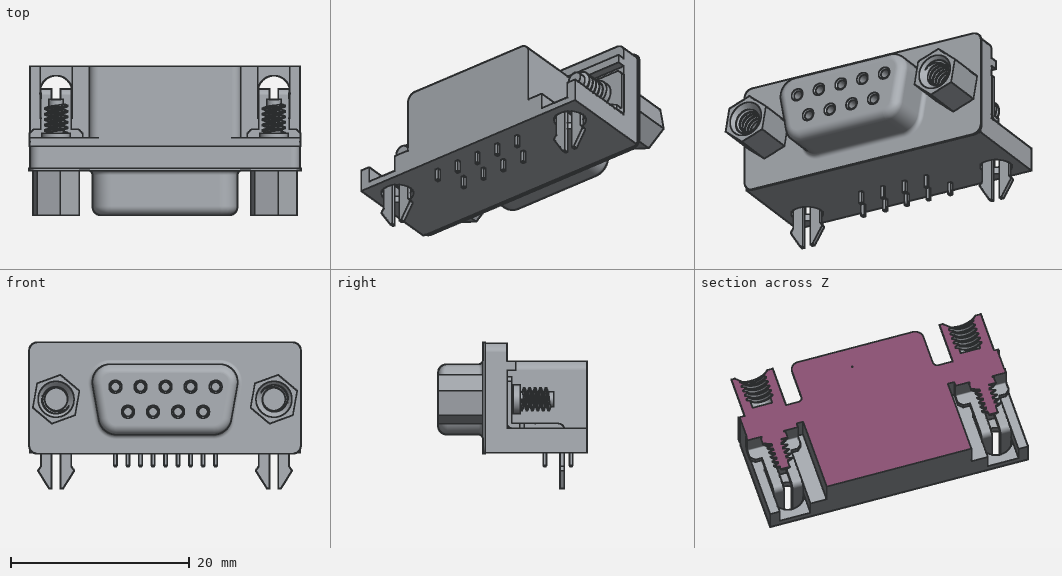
import cadquery as cq
import math


PLATE_WIDTH = 30.5
PLATE_HEIGHT = 12.55
PLATE_THICKNESS = 0.25
CORNER_RADIUS = 1.0
EDGE_INSET = 0.12
FLANGE_BACK = 2.7
REAR = 11.68
BODY_HALF_WIDTH = 8.5
BODY_TOP = 10.4
ARM_TOP = 2.9
OVERHANG_BACK = 3.7
HOUSING_HALF_WIDTH = PLATE_WIDTH / 2 - EDGE_INSET
HOUSING_BOTTOM = EDGE_INSET
HOUSING_TOP = PLATE_HEIGHT - EDGE_INSET

SIDE_X = 12.2
SCREW_Z = 6.13
SIDES = (-SIDE_X, SIDE_X)

CHANNEL_WIDTH = 3.6
CHANNEL_FRONT = 5.85
CHANNEL_FLOOR = 0.95
OPENING_Y = 8.8

FRONT_REACH = 5.03
SHELL_BOTTOM = 2.17
SHELL_TOP = 10.05
SHELL_CORNER = 2.0
SHELL_TOP_STRAIGHT = 6.13
SHELL_SLANT = 10.0
SHELL_EDGE = 1.0
SHELL_FLARE = 0.5

CONTACT_PITCH = 2.8
CONTACT_SHIFT = 0.05
CONTACT_HOLE = 1.05
CONTACT_MOUTH = 1.43
CONTACT_DEPTH = 2.45
UPPER_ROW_Z = 7.53
LOWER_ROW_Z = 4.73
PIN_SIZE = 0.4
PIN_BOTTOM = -1.4
PIN_TIP = 0.12
REAR_PIN_Y = 9.88
FRONT_PIN_Y = 6.95

HEX_RADIUS = 2.78
HEX_TILT = 20.0
NUT_MOUTH = 4.03
NUT_MAJOR = 3.23
NUT_BORE = 2.55
NUT_DEPTH = 4.27

COLLAR_DIAMETER = 3.2
COLLAR_BACK = 4.18
COLLAR_CHAMFER = 0.18
SCREW_END = 7.95
SCREW_ROOT = 1.65
SCREW_OUTER = 2.6
SCREW_TURNS = 5.3

THREAD_PITCH = 0.6
THREAD_ROOT_WIDTH = 0.5
THREAD_CREST_WIDTH = 0.1
THREAD_BITE = 0.05

SHEET = 0.52
BRACKET_WIDTH = 5.98
BRACKET_TOP = 8.65
BRACKET_CHAMFER = 0.5
WIDE_BACK = 4.65
LOCK_BACK = 9.15
LOCK_BEND = 0.7
FRONT_BEND = 0.52
INNER_BEND = 0.15
LOCK_HALF_WIDTH = 1.7
LOCK_SLOT = 0.98
BARB_TOP = -1.37
BARB_PEAK = -1.85
BARB_REACH = 2.05
LOCK_BOTTOM = -3.87
LOCK_TIP = 0.3


def block(x0, x1, y0, y1, z0, z1):
    """Box given by its limits along each axis."""
    return cq.Workplane("XY").box(x1 - x0, y1 - y0, z1 - z0, centered=False).translate((x0, y0, z0))


def rear_plane(y):
    """Work plane facing +Y, with local x along -X and local y along Z."""
    return cq.Workplane(cq.Plane(origin=(0, y, 0), xDir=(-1, 0, 0), normal=(0, 1, 0)))


def front_plane(y):
    """Work plane facing -Y, with local x along X and local y along Z."""
    return cq.Workplane(cq.Plane(origin=(0, y, 0), xDir=(1, 0, 0), normal=(0, -1, 0)))


def make_plate():
    plate = block(-PLATE_WIDTH / 2, PLATE_WIDTH / 2, 0, PLATE_THICKNESS, 0, PLATE_HEIGHT)
    return plate.edges("|Y").fillet(CORNER_RADIUS)


def make_housing():
    half = HOUSING_HALF_WIDTH
    flange = block(-half, half, PLATE_THICKNESS, FLANGE_BACK, HOUSING_BOTTOM, HOUSING_TOP)
    flange = flange.edges("|Y and >Z").fillet(CORNER_RADIUS)
    body = block(-BODY_HALF_WIDTH, BODY_HALF_WIDTH, FLANGE_BACK, REAR, HOUSING_BOTTOM, BODY_TOP)
    body = body.edges("|Y and >Z").fillet(CORNER_RADIUS)
    arms = block(-half, half, FLANGE_BACK, REAR, HOUSING_BOTTOM, ARM_TOP)
    overhang = block(-half, half, FLANGE_BACK, OVERHANG_BACK, BODY_TOP - CORNER_RADIUS, BODY_TOP)
    housing = flange.union(body).union(arms).union(overhang)
    for x in SIDES:
        half_channel = CHANNEL_WIDTH / 2
        channel = block(x - half_channel, x + half_channel, CHANNEL_FRONT, REAR, CHANNEL_FLOOR, ARM_TOP)
        opening = cq.Workplane("XY").center(x, OPENING_Y).circle(half_channel).extrude(ARM_TOP)
        housing = housing.cut(channel).cut(opening)
    return housing


def make_shell():
    upper_z = SHELL_TOP - SHELL_CORNER
    lower_z = SHELL_BOTTOM + SHELL_CORNER
    lower_half = SHELL_TOP_STRAIGHT - (upper_z - lower_z) * math.tan(math.radians(SHELL_SLANT))
    corners = [
        (-SHELL_TOP_STRAIGHT, upper_z),
        (SHELL_TOP_STRAIGHT, upper_z),
        (lower_half, lower_z),
        (-lower_half, lower_z),
    ]
    outline = front_plane(PLATE_THICKNESS).polyline(corners).close().offset2D(SHELL_CORNER, "arc")
    shell = outline.extrude(FRONT_REACH + PLATE_THICKNESS)
    return shell.faces("<Y").edges().fillet(SHELL_EDGE)


def add_flare(part):
    """Concave flare where the shell is drawn out of the flange plate."""
    margin = 0.15
    reach = SHELL_TOP_STRAIGHT + SHELL_CORNER + margin
    around_root = cq.selectors.BoxSelector(
        (-reach, -margin, SHELL_BOTTOM - margin),
        (reach, margin, SHELL_TOP + margin),
        boundingbox=True,
    )
    return part.edges(around_root).fillet(SHELL_FLARE)


def contact_positions():
    """X and Z of every contact: five in the upper row, four in the lower row."""
    for count, z in ((5, UPPER_ROW_Z), (4, LOWER_ROW_Z)):
        for i in range(count):
            yield CONTACT_SHIFT + (i - (count - 1) / 2) * CONTACT_PITCH, z


def make_contact_holes():
    countersink = (CONTACT_MOUTH - CONTACT_HOLE) / 2
    hole = cq.Workplane("XZ").circle(CONTACT_HOLE / 2).extrude(-CONTACT_DEPTH)
    mouth = cq.Workplane("XZ").circle(CONTACT_MOUTH / 2).workplane(offset=-countersink)
    mouth = mouth.circle(CONTACT_HOLE / 2).loft()
    socket = hole.union(mouth)
    holes = cq.Workplane("XY")
    for x, z in contact_positions():
        holes = holes.add(socket.translate((x, -FRONT_REACH, z)))
    return holes.combine()


def make_pins():
    height = ARM_TOP - PIN_BOTTOM
    pins = cq.Workplane("XY")
    for x, z in contact_positions():
        y = REAR_PIN_Y if z == UPPER_ROW_Z else FRONT_PIN_Y
        pin = cq.Workplane("XY").box(PIN_SIZE, PIN_SIZE, height, centered=(True, True, False))
        pin = pin.faces("<Z").edges().chamfer(PIN_TIP)
        pins = pins.add(pin.translate((x, y, PIN_BOTTOM)))
    return pins.combine()


def thread_ridge(root_radius, crest_radius, length):
    """Helical ridge about Z, starting at Z = 0."""
    base = root_radius - THREAD_BITE
    path = cq.Wire.makeHelix(THREAD_PITCH, length, base)
    half_base = THREAD_ROOT_WIDTH / 2
    half_crest = THREAD_CREST_WIDTH / 2
    profile = cq.Workplane("XZ").polyline([
        (base, -half_base), (crest_radius, -half_crest), (crest_radius, half_crest), (base, half_base),
    ]).close()
    return profile.sweep(cq.Workplane(path), isFrenet=True)


def make_nut():
    """Standoff at the origin, with its hexagon running from Y = 0 to the front."""
    points = []
    for i in range(6):
        angle = math.radians(HEX_TILT + 60 * i)
        points.append((HEX_RADIUS * math.cos(angle), HEX_RADIUS * math.sin(angle)))
    nut = front_plane(0).polyline(points).close().extrude(FRONT_REACH)
    sink = (NUT_MOUTH - NUT_BORE) / 2
    bore = rear_plane(-FRONT_REACH).circle(NUT_BORE / 2).extrude(NUT_DEPTH)
    mouth = rear_plane(-FRONT_REACH).circle(NUT_MOUTH / 2).workplane(offset=sink).circle(NUT_BORE / 2).loft()
    groove = thread_ridge(NUT_BORE / 2, NUT_MAJOR / 2, NUT_DEPTH - THREAD_PITCH)
    groove = groove.rotate((0, 0, 0), (1, 0, 0), -90).translate((0, -FRONT_REACH, 0))
    return nut.cut(bore).cut(mouth).cut(groove)


def make_screw():
    """Collar and threaded end at the origin, pointing to the rear."""
    collar_front = FLANGE_BACK + SHEET
    collar = rear_plane(collar_front).circle(COLLAR_DIAMETER / 2).extrude(COLLAR_BACK - collar_front)
    collar = collar.faces("<Y").edges().chamfer(COLLAR_CHAMFER)
    core = rear_plane(FLANGE_BACK).circle(SCREW_ROOT / 2).extrude(SCREW_END - FLANGE_BACK)
    ridge = thread_ridge(SCREW_ROOT / 2, SCREW_OUTER / 2, SCREW_TURNS * THREAD_PITCH)
    ridge = ridge.rotate((0, 0, 0), (1, 0, 0), -90).translate((0, COLLAR_BACK, 0))
    return core.union(ridge).union(collar)


def make_bracket():
    """Bent sheet at the origin: upright leg, shelf, and two barbed board locks."""
    leg_back = FLANGE_BACK + SHEET
    shelf_top = ARM_TOP + SHEET
    lock_front = LOCK_BACK - SHEET
    sheet = (
        cq.Workplane("YZ")
        .moveTo(FLANGE_BACK, BRACKET_TOP)
        .lineTo(FLANGE_BACK, ARM_TOP + FRONT_BEND)
        .radiusArc((FLANGE_BACK + FRONT_BEND, ARM_TOP), -FRONT_BEND)
        .lineTo(lock_front - INNER_BEND, ARM_TOP)
        .radiusArc((lock_front, ARM_TOP - INNER_BEND), INNER_BEND)
        .lineTo(lock_front, LOCK_BOTTOM)
        .lineTo(LOCK_BACK, LOCK_BOTTOM)
        .lineTo(LOCK_BACK, shelf_top - LOCK_BEND)
        .radiusArc((LOCK_BACK - LOCK_BEND, shelf_top), -LOCK_BEND)
        .lineTo(leg_back + INNER_BEND, shelf_top)
        .radiusArc((leg_back, shelf_top + INNER_BEND), INNER_BEND)
        .lineTo(leg_back, BRACKET_TOP)
        .close()
        .extrude(BRACKET_WIDTH / 2, both=True)
    )
    half = BRACKET_WIDTH / 2
    wide = block(-half, half, FLANGE_BACK, WIDE_BACK, ARM_TOP, BRACKET_TOP)
    wide = wide.edges("|Y and >Z").chamfer(BRACKET_CHAMFER)
    wide = wide.edges("|Z and >Y").chamfer(BRACKET_CHAMFER)
    shelf = block(-LOCK_HALF_WIDTH, LOCK_HALF_WIDTH, FLANGE_BACK, LOCK_BACK, 0, BRACKET_TOP)
    slot_half = LOCK_SLOT / 2
    locks = (
        front_plane(LOCK_BACK)
        .polyline([
            (-LOCK_HALF_WIDTH, 0),
            (-LOCK_HALF_WIDTH, BARB_TOP),
            (-BARB_REACH, BARB_PEAK),
            (-slot_half - LOCK_TIP, LOCK_BOTTOM),
            (slot_half + LOCK_TIP, LOCK_BOTTOM),
            (BARB_REACH, BARB_PEAK),
            (LOCK_HALF_WIDTH, BARB_TOP),
            (LOCK_HALF_WIDTH, 0),
        ])
        .close()
        .extrude(SHEET)
    )
    slot = block(-slot_half, slot_half, CHANNEL_FRONT, LOCK_BACK, LOCK_BOTTOM, BRACKET_TOP)
    return sheet.intersect(wide.union(shelf).union(locks)).cut(slot)


result = add_flare(make_plate().union(make_shell()))
result = result.union(make_housing()).cut(make_contact_holes()).union(make_pins())
nut = make_nut()
screw = make_screw()
bracket = make_bracket()
for x in SIDES:
    phase = 180 if x < 0 else 0
    result = result.union(nut.rotate((0, 0, 0), (0, 1, 0), phase).translate((x, 0, SCREW_Z)))
    result = result.union(bracket.translate((x, 0, 0)))
    result = result.union(screw.translate((x, 0, SCREW_Z)))